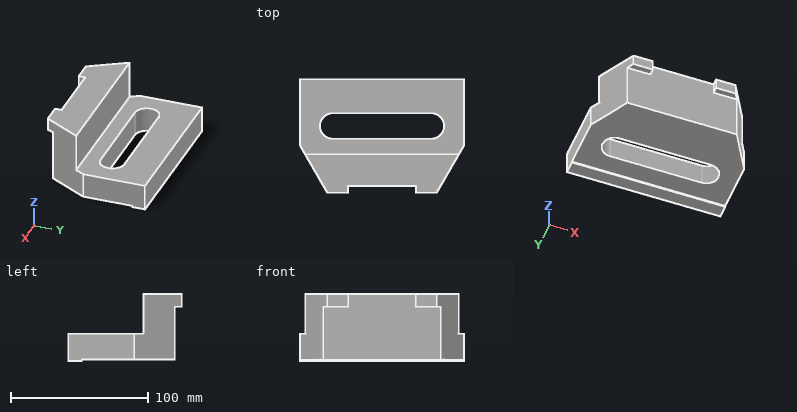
import cadquery as cq
import math

width = 120.0
depth = 83.0
height = 49.0

plate_top = 20.0
foot_height = 1.0
foot_length = 10.1

wall_depth = 28.1
lip_overhang = 5.0
lip_thickness = 9.4
lip_gap = 49.5

straight_side = 48.2
taper_angle = 30.0

slot_length = 90.5
slot_width = 18.5
slot_from_back = 34.2

half_width = width / 2
taper_start = depth - straight_side
half_front = half_width - taper_start * math.tan(math.radians(taper_angle))

body = (
    cq.Workplane("YZ")
    .polyline([
        (depth, 0),
        (depth, plate_top),
        (wall_depth, plate_top),
        (wall_depth, height),
        (0, height),
        (0, height - lip_thickness),
        (lip_overhang, height - lip_thickness),
        (lip_overhang, foot_height),
        (depth - foot_length, foot_height),
        (depth - foot_length, 0),
    ])
    .close()
    .extrude(half_width, both=True)
)

plan = (
    cq.Workplane("XY")
    .polyline([
        (-half_width, depth),
        (half_width, depth),
        (half_width, taper_start),
        (half_front, 0),
        (-half_front, 0),
        (-half_width, taper_start),
    ])
    .close()
    .extrude(height)
)

gap = cq.Workplane("XY").box(lip_gap, lip_overhang, height, centered=(True, False, False))

slot = (
    cq.Workplane("XY")
    .center(0, depth - slot_from_back)
    .slot2D(slot_length, slot_width)
    .extrude(height)
)

result = body.intersect(plan).cut(gap).cut(slot)